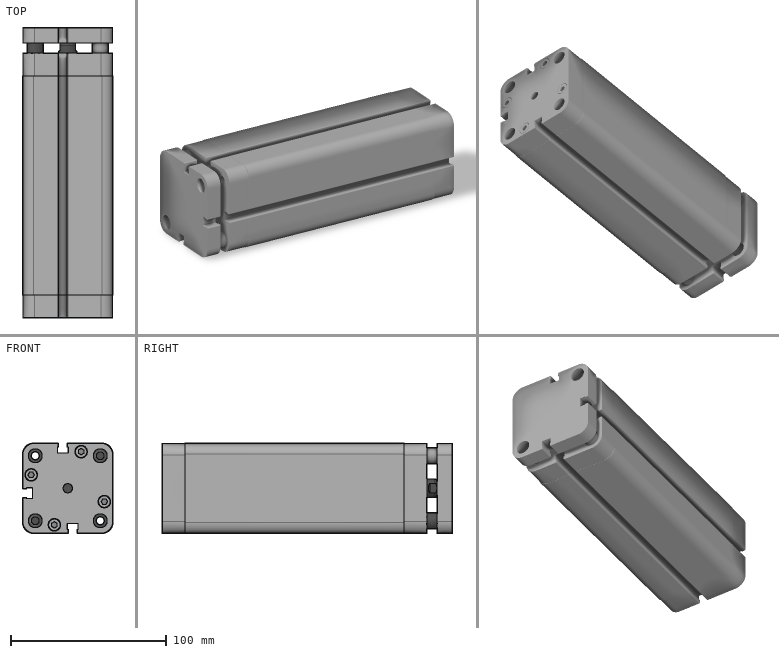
import cadquery as cq

length = 187.0
tube_width = 58.2
cap_width = 58.0
front_y = -length / 2
back_y = length / 2

end_cap_length = 14.8
plate_thickness = 10.0
plate_gap = 6.5
plate_y = back_y - plate_thickness
housing_end_y = plate_y - plate_gap

cap_corner_radius = 7.5
tube_corner_radius = 7.0

slot_offset = 3.2
slot_neck_width = 5.6
slot_neck_depth = 2.5
slot_mouth_radius = 0.5
slot_width = 6.7
slot_depth = 6.4
slot_turns = [0, 90, 180]

corner_offset = 21.0
mount_hole_diameter = 5.0
counterbore_diameter = 9.0
counterbore_depth = 9.0
plate_hole_diameter = 9.5

guide_rod_diameter = 10.5
rod_embed = 1.9
piston_rod_diameter = 12.0
piston_rod_end_radius = 1.5
wrench_size = 10.1
wrench_flat_length = 4.7

screw_offset = 8.6
screw_radius = 23.5
screw_recess_diameter = 8.0
screw_head_diameter = 7.5
screw_recess_depth = 1.9
socket_corner_diameter = 4.1
socket_depth = 1.5
socket_sides = 6
socket_turn = 90
screw_turns = range(0, 360, 90)

port_diameter = 6.0
port_depth = 9.4

guide_positions = [(corner_offset, corner_offset), (-corner_offset, -corner_offset)]
open_positions = [(-corner_offset, corner_offset), (corner_offset, -corner_offset)]


def section_plane(y):
    """Sketch plane at the given Y: local x is X, local y is Z, extrusion runs toward +Y."""
    return cq.Workplane(cq.Plane(origin=(0, y, 0), xDir=(1, 0, 0), normal=(0, -1, 0)))


def rod(position, diameter, y_start, y_end):
    """Round bar along Y centred on an (x, z) position."""
    return section_plane(y_start).center(*position).circle(diameter / 2).extrude(y_start - y_end)


def make_slot(y_start, y_end, side):
    """Top-face slot cutter: rounded mouth and narrow neck over a wider pocket."""
    neck = slot_neck_width / 2
    mouth = neck + slot_mouth_radius
    pocket = slot_width / 2
    return (
        section_plane(y_start)
        .center(-slot_offset, side / 2)
        .moveTo(mouth, 0)
        .radiusArc((neck, -slot_mouth_radius), -slot_mouth_radius)
        .lineTo(neck, -slot_neck_depth)
        .lineTo(pocket, -slot_neck_depth)
        .lineTo(pocket, -slot_depth)
        .lineTo(-pocket, -slot_depth)
        .lineTo(-pocket, -slot_neck_depth)
        .lineTo(-neck, -slot_neck_depth)
        .lineTo(-neck, -slot_mouth_radius)
        .radiusArc((-mouth, 0), -slot_mouth_radius)
        .close()
        .extrude(y_start - y_end)
    )


def slotted_block(y_start, y_end, side, corner_radius):
    """Rounded square block with slots along its top, left and bottom faces."""
    block = section_plane(y_start).rect(side, side).extrude(y_start - y_end)
    block = block.edges("|Y").fillet(corner_radius)
    slot = make_slot(y_start, y_end, side)
    for turn in slot_turns:
        block = block.cut(slot.rotate((0, 0, 0), (0, 1, 0), -turn))
    return block


def make_piston_rod():
    """Round rod with a rounded end against the plate and two wrench flats facing -X and +X."""
    bar = rod((0, 0), piston_rod_diameter, housing_end_y - rod_embed, plate_y)
    bar = bar.faces(">Y").edges().fillet(piston_rod_end_radius)

    flat_end_y = plate_y - wrench_flat_length
    inner = wrench_size / 2
    outer = piston_rod_diameter / 2
    runout_y = flat_end_y - (outer - inner)
    flat_cutter = (
        cq.Workplane()
        .polyline([(inner, plate_y), (inner, flat_end_y), (outer, runout_y), (outer, plate_y)])
        .close()
        .extrude(outer, both=True)
    )
    return bar.cut(flat_cutter).cut(flat_cutter.mirror("YZ"))


def make_screw_pocket():
    """Clearance ring around a flush screw head with a hexagon socket, on the front face."""
    center = (screw_offset, screw_radius)
    recess = rod(center, screw_recess_diameter, front_y, front_y + screw_recess_depth)
    head = rod(center, screw_head_diameter, front_y, front_y + screw_recess_depth)
    socket = (
        section_plane(front_y)
        .center(*center)
        .transformed(rotate=(0, 0, socket_turn))
        .polygon(socket_sides, socket_corner_diameter)
        .extrude(-socket_depth)
    )
    return recess.cut(head).union(socket)


tube_start_y = front_y + end_cap_length
tube_end_y = housing_end_y - end_cap_length
result = slotted_block(front_y, tube_start_y, cap_width, cap_corner_radius)
result = result.union(slotted_block(tube_start_y, tube_end_y, tube_width, tube_corner_radius))
result = result.union(slotted_block(tube_end_y, housing_end_y, cap_width, cap_corner_radius))
result = result.union(slotted_block(plate_y, back_y, cap_width, cap_corner_radius))

result = result.union(make_piston_rod())
for position in guide_positions:
    result = result.union(rod(position, guide_rod_diameter, housing_end_y - rod_embed, plate_y + rod_embed))

for position in guide_positions + open_positions:
    result = result.cut(rod(position, counterbore_diameter, front_y, front_y + counterbore_depth))
for position in guide_positions:
    result = result.cut(rod(position, mount_hole_diameter, front_y, tube_start_y))
for position in open_positions:
    result = result.cut(rod(position, mount_hole_diameter, front_y, housing_end_y))
    result = result.cut(rod(position, plate_hole_diameter, plate_y, back_y))

for turn in screw_turns:
    result = result.cut(make_screw_pocket().rotate((0, 0, 0), (0, 1, 0), turn))

result = result.cut(rod((0, 0), port_diameter, front_y, front_y + port_depth))